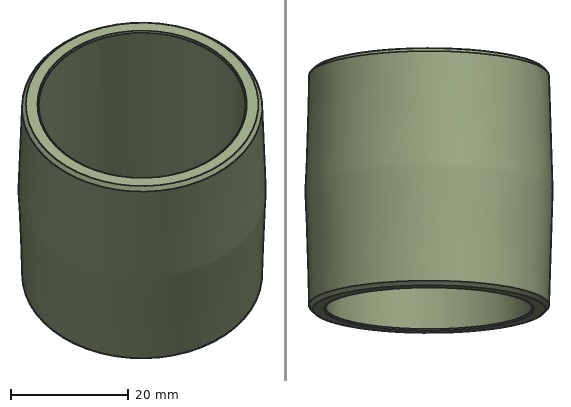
import cadquery as cq

height = 41.27
middle_diameter = 42.15
bore_diameter = 35.15
diameter_taper = 1 / 16

outer_chamfer = 0.67
bore_chamfer = 0.25
band_height = 0.5

half_height = height / 2
half_band = band_height / 2
shoulder_z = half_height - outer_chamfer
middle_radius = middle_diameter / 2
end_radius = middle_radius - (shoulder_z - half_band) * diameter_taper / 2
bore_radius = bore_diameter / 2

profile = (
    cq.Workplane("XZ")
    .moveTo(bore_radius, -half_height + bore_chamfer)
    .lineTo(bore_radius + bore_chamfer, -half_height)
    .lineTo(end_radius - outer_chamfer, -half_height)
    .lineTo(end_radius, -shoulder_z)
    .lineTo(middle_radius, -half_band)
    .lineTo(middle_radius, half_band)
    .lineTo(end_radius, shoulder_z)
    .lineTo(end_radius - outer_chamfer, half_height)
    .lineTo(bore_radius + bore_chamfer, half_height)
    .lineTo(bore_radius, half_height - bore_chamfer)
    .close()
)

result = profile.revolve(360, (0, 0, 0), (0, 1, 0))